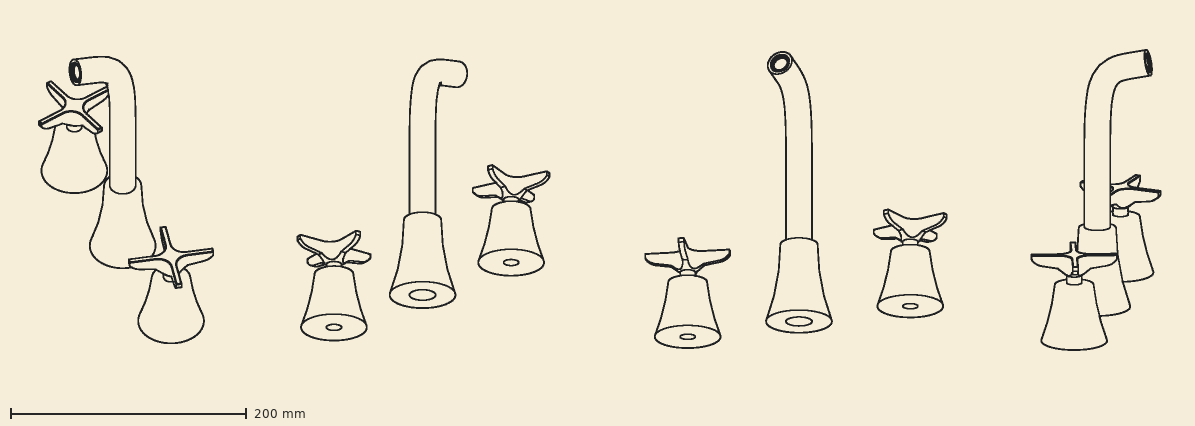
import cadquery as cq
import math

base_bottom_radius = 28.0
handle_base_top_radius = 16.5
spout_base_top_radius = 16.0
rim_fillet = 0.5
flare_radius = 206.2
dome_height = 2.0
handle_base_height = 49.8
spout_base_height = 69.8
handle_offset = 101.7

stem_diameter = 13.0
handle_bottom = 58.3
handle_top = 76.5
handle_angle = 13.0
arm_reach = 36.3
arm_width = 4.7
web_radius = 11.3
hub_radius = 14.3
hub_bottom = 64.5
tip_edge_height = 3.8
tip_bottom_radius = 27.5
tip_bottom = 66.8
arm_edge_chamfer = 0.5

tube_diameter = 22.3
bend_start = 149.0
bend_inlet_pull = 55.0
bend_outlet_pull = 22.0
outlet_tilt = 13.0
outlet_length = 16.2
outlet_y = -44.0
outlet_z = 218.8
outlet_bore_diameter = 16.8
outlet_bore_depth = 5.5

aerator_groove_diameter = 14.5
aerator_core_diameter = 12.5
aerator_groove_depth = 0.8
aerator_recess = 1.5


def make_base(height, top_radius, bore_diameter):
    """Bell with a concave flank, rounded rim and domed top, bored along its axis."""
    dome_middle = (top_radius / 2, height + dome_height * 3 / 4)
    bell = (
        cq.Workplane("XZ")
        .lineTo(base_bottom_radius, 0)
        .radiusArc((top_radius, height), flare_radius)
        .threePointArc(dome_middle, (0, height + dome_height))
        .close()
        .revolve(360, (0, 0), (0, 1))
    )
    bell = bell.faces(">Z").edges("%CIRCLE").fillet(rim_fillet)
    bore = cq.Workplane("XY").circle(bore_diameter / 2).extrude(height + 2 * dome_height)
    return bell.cut(bore)


def make_stem():
    """Plain pin from the foot of the base up to the underside of the handle."""
    return cq.Workplane("XY").circle(stem_diameter / 2).extrude(handle_bottom)


def make_cross():
    """Cross prism with large concave webs between the arms."""
    height = handle_top - handle_bottom
    cross = cq.Workplane("XY").workplane(offset=handle_bottom)
    cross = cross.rect(2 * arm_reach, arm_width).extrude(height)
    cross = cross.union(cross.rotate((0, 0, 0), (0, 0, 1), 90))
    inner_corners = cq.selectors.BoxSelector((-arm_width, -arm_width, 0), (arm_width, arm_width, handle_top))
    return cross.edges("|Z").edges(inner_corners).fillet(web_radius)


def make_handle(angle):
    """Cross trimmed by a turned outline: conical hub, sloping arms and rounded tips."""
    cross = make_cross()
    outline = (
        cq.Workplane("XZ")
        .moveTo(0, handle_bottom)
        .lineTo(stem_diameter / 2, handle_bottom)
        .lineTo(hub_radius, hub_bottom)
        .lineTo(tip_bottom_radius, tip_bottom)
        .tangentArcPoint((arm_reach, handle_top - tip_edge_height), relative=False)
        .lineTo(arm_reach, handle_top)
        .lineTo(0, handle_top)
        .close()
        .revolve(360, (0, 0), (0, 1))
    )
    handle = cross.intersect(outline)
    handle = handle.faces(">Z").chamfer(arm_edge_chamfer)
    return handle.rotate((0, 0, 0), (0, 0, 1), angle)


tilt = math.radians(outlet_tilt)
outlet_direction = cq.Vector(0, -math.cos(tilt), math.sin(tilt))
outlet_end = cq.Vector(0, outlet_y, outlet_z)
outlet_start = outlet_end - outlet_direction * outlet_length


def outlet_plane(depth):
    """Plane facing out of the spout, the given depth behind its end."""
    return cq.Plane(outlet_end - outlet_direction * depth, (1, 0, 0), outlet_direction)


def make_spout():
    """Straight riser, smooth bend and straight outlet with a bore for the aerator."""
    riser = cq.Workplane("XY").circle(tube_diameter / 2).extrude(bend_start)
    bend_pull = outlet_start - outlet_direction * bend_outlet_pull
    bend_path = cq.Workplane("YZ").bezier([
        (0, bend_start),
        (0, bend_start + bend_inlet_pull),
        (bend_pull.y, bend_pull.z),
        (outlet_start.y, outlet_start.z),
    ])
    bend = cq.Workplane("XY").workplane(offset=bend_start).circle(tube_diameter / 2).sweep(bend_path)
    outlet = cq.Workplane(outlet_plane(outlet_length)).circle(tube_diameter / 2).extrude(outlet_length)
    bore = cq.Workplane(outlet_plane(outlet_bore_depth)).circle(outlet_bore_diameter / 2)
    return riser.union(bend).union(outlet).cut(bore.extrude(outlet_bore_depth))


def make_aerator():
    """Insert set slightly back in the outlet bore, with a ring groove in its face."""
    aerator = cq.Workplane(outlet_plane(outlet_bore_depth)).circle(outlet_bore_diameter / 2)
    aerator = aerator.extrude(outlet_bore_depth - aerator_recess)
    groove = (
        cq.Workplane(outlet_plane(aerator_recess + aerator_groove_depth))
        .circle(aerator_groove_diameter / 2)
        .circle(aerator_core_diameter / 2)
        .extrude(aerator_groove_depth)
    )
    return aerator.cut(groove)


spout_base = make_base(spout_base_height, spout_base_top_radius, tube_diameter)
spout = make_spout()
aerator = make_aerator()
bodies = [spout_base, spout, aerator]

for side in (-1, 1):
    position = (side * handle_offset, 0, 0)
    handle_base = make_base(handle_base_height, handle_base_top_radius, stem_diameter).translate(position)
    stem = make_stem().translate(position)
    handle = make_handle(-side * handle_angle).translate(position)
    bodies += [handle_base, stem, handle]

result = cq.Compound.makeCompound([body.solids().val() for body in bodies])